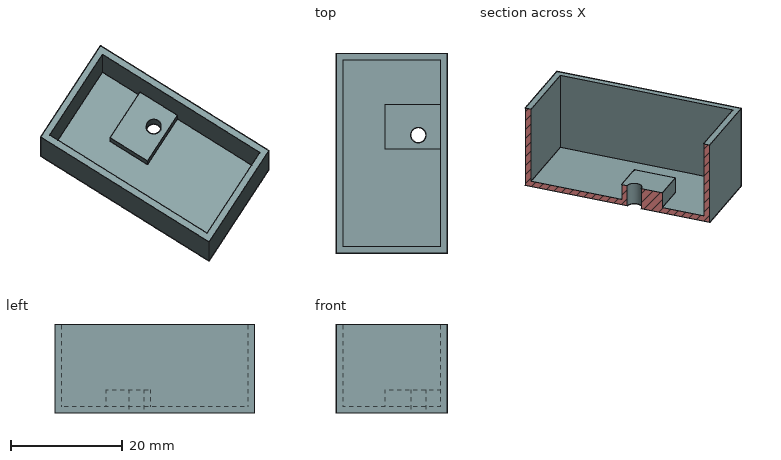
import cadquery as cq

width = 20.0
length = 36.0
height = 16.0
wall = 1.2

block_width = 10.0
block_length = 8.0
block_start_y = 0.8
block_top = 4.2

hole_diameter = 2.7
hole_x = 4.8
hole_y = 3.28

inner_width = width - 2 * wall
inner_length = length - 2 * wall


def open_box():
    outer = cq.Workplane("XY").box(width, length, height, centered=(True, True, False))
    cavity = (
        cq.Workplane("XY")
        .workplane(offset=wall)
        .rect(inner_width, inner_length)
        .extrude(height - wall)
    )
    return outer.cut(cavity)


def mounting_block():
    return (
        cq.Workplane("XY")
        .box(block_width, block_length, block_top, centered=False)
        .translate((inner_width / 2 - block_width, block_start_y, 0))
    )


def screw_hole():
    return cq.Workplane("XY").center(hole_x, hole_y).circle(hole_diameter / 2).extrude(block_top)


result = open_box().union(mounting_block()).cut(screw_hole())